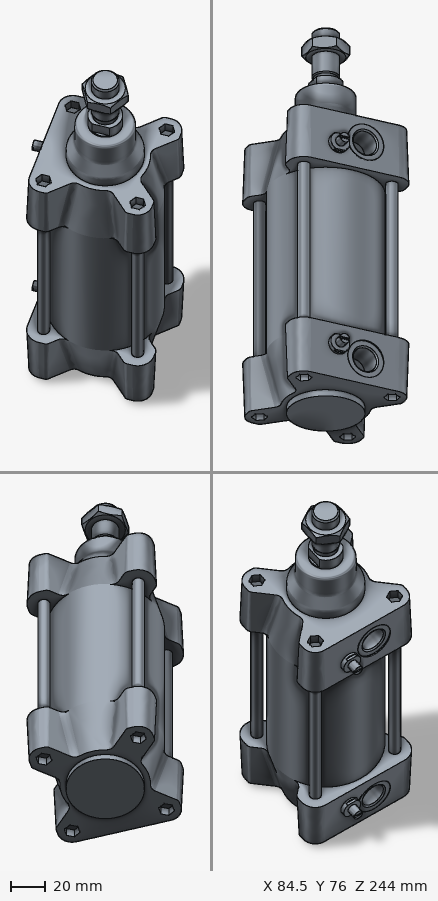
import cadquery as cq
import math


pilot_height = 4.0
head_height = 34.0
stroke = 50.0
head_to_head = 121.0 + stroke
rod_shoulder_above_head = 37.0
thread_length = 32.0

rear_face_z = pilot_height
front_face_z = rear_face_z + head_to_head
barrel_bottom_z = rear_face_z + head_height
barrel_top_z = front_face_z - head_height
barrel_length = barrel_top_z - barrel_bottom_z
rod_shoulder_z = front_face_z + rod_shoulder_above_head
rod_tip_z = rod_shoulder_z + thread_length

head_half_width = 38.0
head_draft = 2.0
tie_rod_offset = 28.25
corner_radius = head_half_width - tie_rod_offset
notch_offset = 14.65
leg_edge_radius = 4.0
notch_root_radius = 5.0
core_outer_radius = 26.0

barrel_diameter = 68.0
tie_rod_diameter = 7.1
socket_across_flats = 8.0
socket_depth = 6.0

port_y = -7.0
port_inset = 16.0
port_diameter = 14.9
port_depth = 16.0
port_chamfer = 0.9
spot_face_diameter = 23.0
spot_face_x = -36.9

screw_y = 11.0
screw_inset = 21.0
screw_diameter = 6.0
screw_tip_x = -46.5
collar_diameter = 12.0
collar_end_x = -40.5
collar_across_flats = 10.2
collar_flat_length = 1.6
screw_slot_width = 1.2
screw_slot_depth = 0.8
screw_root_x = -36.0

pilot_diameter = 45.0
gland_diameter = 35.0
gland_top_z = front_face_z + 29.0
gland_cone_z = front_face_z + 5.6
gland_cone_angle = 30.0
gland_blend_radius = 4.0
gland_top_radius = 2.0

rod_diameter = 20.0
rod_across_flats = 17.0
rod_flat_length = 7.0
thread_diameter = 16.0
undercut_diameter = 14.5
undercut_length = 3.0
undercut_chamfer = (thread_diameter - undercut_diameter) / 2
tip_chamfer = 1.0
rod_end_z = barrel_top_z

nut_across_flats = 24.0
nut_height = 8.0
nut_bottom_z = 228.5
nut_face_diameter = 23.0
nut_chamfer_angle = 30.0


def across_corners(across_flats):
    """Corner-to-corner width of a hexagon."""
    return across_flats / math.cos(math.radians(30))


def x_cylinder(diameter, x_start, x_end, y):
    """Cylinder along X at height zero."""
    disc = cq.Workplane("YZ", origin=(x_start, 0, 0)).center(y, 0).circle(diameter / 2)
    return disc.extrude(x_end - x_start)


def tie_rod_points(workplane):
    """Puts the four tie-rod centres on the stack."""
    pitch = 2 * tie_rod_offset
    return workplane.rect(pitch, pitch, forConstruction=True).vertices()


def head_legs():
    """Drafted prism with a 45-degree V notch in the +X, +Y and -Y sides, barrel side at Z = 0."""
    w = head_half_width
    n = w - notch_offset
    outline = [
        (-w, -w), (-n, -w), (0, -notch_offset), (n, -w),
        (w, -w), (w, -n), (notch_offset, 0), (w, n),
        (w, w), (n, w), (0, notch_offset), (-n, w),
        (-w, w), (-w, -w),
    ]
    section = cq.Sketch().polygon(outline)
    corners = [(x, y) for x in (-w, w) for y in (-w, w)]
    tips = [(s * n, t * w) for s in (-1, 1) for t in (-1, 1)] + [(w, -n), (w, n)]
    for points, radius in ((corners, corner_radius), (tips, leg_edge_radius)):
        for x, y in points:
            near = cq.selectors.NearestToPointSelector((x, y, 0))
            section = section.reset().vertices(near).fillet(radius)
    return cq.Workplane().placeSketch(section.reset()).extrude(head_height, taper=head_draft)


def head_core():
    """Cone frustum that closes the roots of the notches."""
    return cq.Workplane("XZ").polyline([
        (0, 0), (barrel_diameter / 2, 0), (core_outer_radius, head_height), (0, head_height),
    ]).close().revolve(360, (0, 0, 0), (0, 1, 0))


def is_notch_root(edge):
    """True for the full-height edges where the notch walls meet the core."""
    center = edge.Center()
    spans_head = math.isclose(edge.BoundingBox().zlen, head_height, rel_tol=0.01)
    beside_core = math.hypot(center.x, center.y) < barrel_diameter / 2
    return spans_head and beside_core


def cushion_screw(z):
    """Slotted screw in a collar with two flats at its end."""
    collar = x_cylinder(collar_diameter, collar_end_x, screw_root_x, screw_y)
    flats_x = collar_end_x + collar_flat_length
    flats = (
        cq.Workplane("YZ", origin=(collar_end_x, screw_y, 0))
        .rect(collar_diameter, 2 * collar_diameter)
        .rect(collar_diameter, collar_across_flats)
        .extrude(flats_x - collar_end_x)
    )
    stem = x_cylinder(screw_diameter, screw_tip_x, screw_root_x, screw_y)
    slot = cq.Workplane(origin=(screw_tip_x, screw_y, 0)).box(
        2 * screw_slot_depth, screw_diameter, screw_slot_width
    )
    return collar.cut(flats).union(stem).cut(slot).translate((0, 0, z))


def port(z):
    """Threaded-port bore with a chamfered mouth and a spot face."""
    spot_face = x_cylinder(spot_face_diameter, -head_half_width, spot_face_x, port_y)
    bore = x_cylinder(port_diameter, spot_face_x, spot_face_x + port_depth, port_y)
    mouth = (
        cq.Workplane("YZ", origin=(spot_face_x, port_y, 0))
        .circle(port_diameter / 2 + port_chamfer)
        .workplane(offset=port_chamfer)
        .circle(port_diameter / 2)
        .loft()
    )
    return spot_face.union(bore).union(mouth).translate((0, 0, z))


def make_head():
    """Head with its barrel side at Z = 0 and its outer face at Z = head_height."""
    head = head_legs().union(head_core())
    notch_roots = [edge for edge in head.edges().vals() if is_notch_root(edge)]
    head = head.newObject(notch_roots).fillet(notch_root_radius)
    sockets = (
        tie_rod_points(cq.Workplane(origin=(0, 0, head_height)))
        .polygon(6, across_corners(socket_across_flats))
        .extrude(-socket_depth)
    )
    head = head.cut(sockets).cut(port(head_height - port_inset))
    return head.union(cushion_screw(head_height - screw_inset))


def make_gland():
    """Stepped neck above the front head."""
    cone_top_z = gland_cone_z + (
        (pilot_diameter - gland_diameter) / 2 / math.tan(math.radians(gland_cone_angle))
    )
    gland = cq.Workplane("XZ").polyline([
        (0, front_face_z),
        (pilot_diameter / 2, front_face_z),
        (pilot_diameter / 2, gland_cone_z),
        (gland_diameter / 2, cone_top_z),
        (gland_diameter / 2, gland_top_z),
        (0, gland_top_z),
    ]).close().revolve(360, (0, 0, 0), (0, 1, 0))
    cone_rims = cq.selectors.SubtractSelector(
        cq.selectors.TypeSelector("CIRCLE"),
        cq.selectors.SumSelector(cq.StringSyntaxSelector("<Z"), cq.StringSyntaxSelector(">Z")),
    )
    gland = gland.edges(cone_rims).fillet(gland_blend_radius)
    return gland.faces(">Z").edges().fillet(gland_top_radius)


def make_body():
    """Barrel, both heads, tie rods, rear pilot and gland, bored for the rod."""
    head = make_head()
    front_head = head.translate((0, 0, barrel_top_z))
    rear_head = head.mirror("XY").translate((0, 0, barrel_bottom_z))
    between_heads = cq.Workplane(origin=(0, 0, barrel_bottom_z))
    barrel = between_heads.circle(barrel_diameter / 2).extrude(barrel_length)
    tie_rods = tie_rod_points(between_heads).circle(tie_rod_diameter / 2).extrude(barrel_length)
    rear_pilot = cq.Workplane().circle(pilot_diameter / 2).extrude(pilot_height)
    body = barrel.union(front_head).union(rear_head).union(tie_rods)
    body = body.union(rear_pilot).union(make_gland())
    rod_bore = (
        cq.Workplane(origin=(0, 0, rod_end_z))
        .circle(rod_diameter / 2)
        .extrude(gland_top_z - rod_end_z)
    )
    return body.cut(rod_bore)


def make_piston_rod():
    """Rod with two wrench flats facing +Y and -Y, an undercut and a threaded end."""
    undercut_top_z = rod_shoulder_z + undercut_length
    rod = cq.Workplane("XZ").polyline([
        (0, rod_end_z),
        (rod_diameter / 2, rod_end_z),
        (rod_diameter / 2, rod_shoulder_z),
        (undercut_diameter / 2, rod_shoulder_z),
        (undercut_diameter / 2, undercut_top_z),
        (thread_diameter / 2, undercut_top_z + undercut_chamfer),
        (thread_diameter / 2, rod_tip_z - tip_chamfer),
        (thread_diameter / 2 - tip_chamfer, rod_tip_z),
        (0, rod_tip_z),
    ]).close().revolve(360, (0, 0, 0), (0, 1, 0))
    flats = (
        cq.Workplane(origin=(0, 0, rod_shoulder_z))
        .rect(2 * rod_diameter, 2 * rod_diameter)
        .rect(2 * rod_diameter, rod_across_flats)
        .extrude(-rod_flat_length)
    )
    return rod.cut(flats)


def make_nut():
    """Hexagon nut with both faces chamfered."""
    hex_radius = across_corners(nut_across_flats) / 2
    face_radius = nut_face_diameter / 2
    chamfer_height = (hex_radius - face_radius) * math.tan(math.radians(nut_chamfer_angle))
    hexagon = cq.Workplane().polygon(6, 2 * hex_radius).extrude(nut_height)
    envelope = cq.Workplane("XZ").polyline([
        (0, 0), (face_radius, 0), (hex_radius, chamfer_height),
        (hex_radius, nut_height - chamfer_height), (face_radius, nut_height), (0, nut_height),
    ]).close().revolve(360, (0, 0, 0), (0, 1, 0))
    bore = cq.Workplane().circle(thread_diameter / 2).extrude(nut_height)
    return hexagon.intersect(envelope).cut(bore).translate((0, 0, nut_bottom_z))


body = make_body()
piston_rod = make_piston_rod()
nut = make_nut()

result = cq.Compound.makeCompound([body.val(), piston_rod.val(), nut.val()])